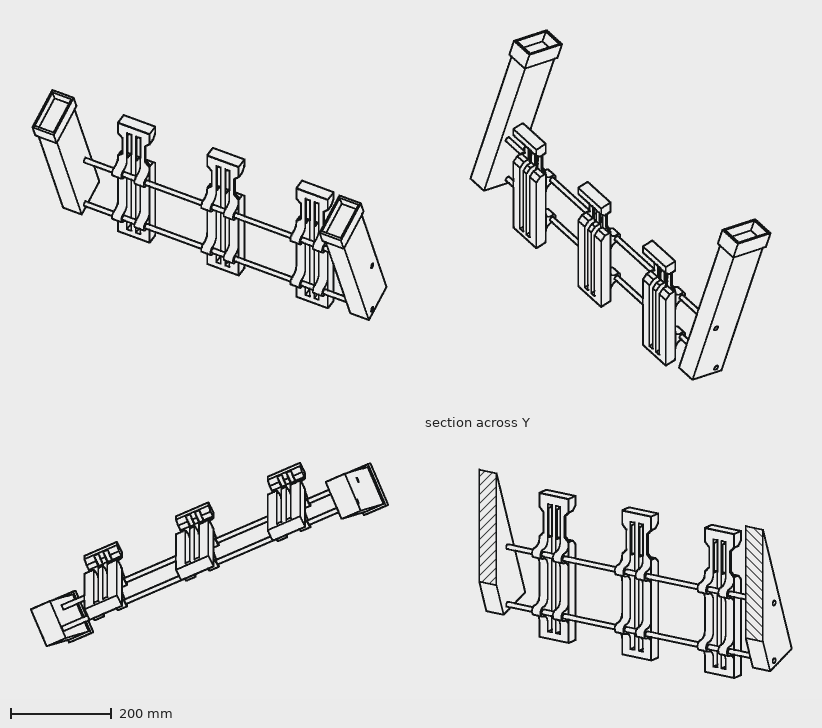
import cadquery as cq
import math


rod_radius = 5
lower_rod_height = 60
rod_spacing = 120
rod_heights = (lower_rod_height, lower_rod_height + rod_spacing)

leg_center_x = 322
leg_tilt = 20
post_width = 42
post_depth = 80
socket_side_wall = 3
socket_end_wall = 5
socket_height = 35
pocket_depth = 25
leg_pivot_height = lower_rod_height + rod_spacing / 2
post_bottom = -68.9
leg_top = 281.2
socket_bottom = leg_top - socket_height
rod_length = 2 * leg_center_x + post_width

clamp_pitch = 200
clamp_positions = (-clamp_pitch, 0, clamp_pitch)
clamp_width = 71
clamp_height = 300
clamp_depth = 25
clamp_back_y = 40
clamp_front_y = clamp_back_y - clamp_depth
edge_chamfer = 0.7

slot_width = 10
middle_bar_width = 10
slot_bottom = 15
slot_top = 280
slot_offset_x = (middle_bar_width + slot_width) / 2

waist_center_height = 240.5
waist_mouth = 61.5
waist_bevel = 10
waist_thickness = 4

ear_width = (clamp_width - middle_bar_width) / 2 - slot_width
ear_radius = 10
ear_root_radius = clamp_front_y
ear_center_x = (clamp_width - ear_width) / 2


def box_between(x_range, y_range, z_range):
    """Block filling the given ranges along X, Y and Z."""
    lengths = [high - low for low, high in (x_range, y_range, z_range)]
    block = cq.Workplane("XY").box(*lengths, centered=False)
    return block.translate((x_range[0], y_range[0], z_range[0]))


def centered_range(center, length):
    return (center - length / 2, center + length / 2)


def upright_block(width, depth, bottom, top):
    """Block centred on the Z axis between two heights."""
    return cq.Workplane("XY").workplane(offset=bottom).rect(width, depth).extrude(top - bottom)


def make_rod(height):
    """Round bar along X, ending flush with the outer faces of the posts."""
    rod = cq.Workplane("YZ").circle(rod_radius).extrude(rod_length)
    return rod.translate((-rod_length / 2, 0, height))


def make_leg(center_x):
    """Solid post with a wider socket head, leaned so that its top comes toward -Y."""
    post = upright_block(post_width, post_depth, post_bottom, socket_bottom)
    head = upright_block(
        post_width + 2 * socket_side_wall, post_depth + 2 * socket_end_wall, socket_bottom, leg_top
    )
    pocket = upright_block(post_width, post_depth, leg_top - pocket_depth, leg_top)
    leg = post.union(head).cut(pocket)
    leg = leg.rotate((0, 0, 0), (1, 0, 0), leg_tilt)
    return leg.translate((center_x, 0, leg_pivot_height))


def make_ear(center_x, height):
    """Round-nosed lug around a rod, flaring into the plate through concave quarter-circle roots."""
    root_half_height = ear_radius + ear_root_radius
    arc_mid = ear_root_radius * math.sqrt(0.5)
    profile = (
        cq.Workplane("YZ")
        .moveTo(clamp_front_y, -root_half_height)
        .threePointArc((arc_mid, arc_mid - root_half_height), (0, -ear_radius))
        .threePointArc((-ear_radius, 0), (0, ear_radius))
        .threePointArc((arc_mid, root_half_height - arc_mid), (clamp_front_y, root_half_height))
        .close()
    )
    return profile.extrude(ear_width / 2, both=True).translate((center_x, 0, height))


def make_back_notch():
    """Cutter across the back of the clamp, bevelled at its mouth."""
    half_mouth = waist_mouth / 2
    notch_floor = clamp_front_y + waist_thickness
    corner_y = clamp_back_y - waist_bevel
    return (
        cq.Workplane("YZ")
        .polyline([
            (notch_floor, -half_mouth),
            (corner_y, -half_mouth),
            (clamp_back_y, -half_mouth - waist_bevel),
            (clamp_back_y, half_mouth + waist_bevel),
            (corner_y, half_mouth),
            (notch_floor, half_mouth),
        ])
        .close()
        .extrude(clamp_width / 2, both=True)
        .translate((0, 0, waist_center_height))
    )


def make_side_notch(side):
    """Cutter for one side of the waist, with 45 degree shoulders."""
    half_mouth = waist_mouth / 2
    edge_x = side * clamp_width / 2
    neck_x = edge_x - side * waist_bevel
    return (
        cq.Workplane("XZ")
        .polyline([
            (edge_x, -half_mouth),
            (neck_x, -half_mouth + waist_bevel),
            (neck_x, half_mouth - waist_bevel),
            (edge_x, half_mouth),
        ])
        .close()
        .extrude(-clamp_depth)
        .translate((0, clamp_front_y, waist_center_height))
    )


def make_clamp(center_x):
    """Waisted plate with a chamfered front outline, two slots and two pairs of ears."""
    clamp_depth_range = (clamp_front_y, clamp_back_y)
    clamp = box_between(centered_range(0, clamp_width), clamp_depth_range, (0, clamp_height))
    clamp = clamp.cut(make_back_notch())
    for side in (-1, 1):
        clamp = clamp.cut(make_side_notch(side))
    clamp = clamp.faces("<Y").edges().chamfer(edge_chamfer)
    for side in (-1, 1):
        for height in rod_heights:
            clamp = clamp.union(make_ear(side * ear_center_x, height))
    for side in (-1, 1):
        slot_range = centered_range(side * slot_offset_x, slot_width)
        clamp = clamp.cut(box_between(slot_range, clamp_depth_range, (slot_bottom, slot_top)))
    return clamp.translate((center_x, 0, 0))


rods = [make_rod(height) for height in rod_heights]
rod_carriers = [make_leg(side * leg_center_x) for side in (-1, 1)]
rod_carriers += [make_clamp(center_x) for center_x in clamp_positions]

bored_carriers = [carrier.cut(rods[0]).cut(rods[1]) for carrier in rod_carriers]

result = cq.Compound.makeCompound([body.val() for body in rods + bored_carriers])